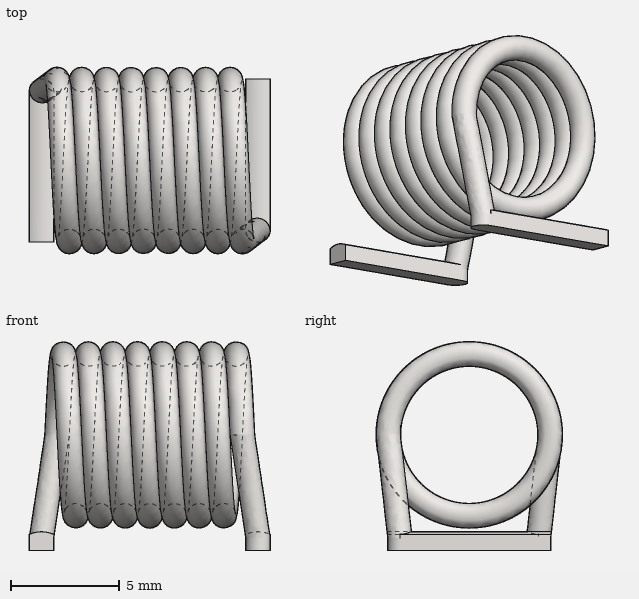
import cadquery as cq

wire_diameter = 1.14
coil_outer_diameter = 8.63
coil_pitch = 1.143
coil_turns = 7.5
overall_length = 11.15
overall_height = 9.66
foot_length = 7.54
foot_side_height = 0.74
foot_crown_height = 0.87

wire_radius = wire_diameter / 2
coil_radius = coil_outer_diameter / 2 - wire_radius
coil_length = coil_turns * coil_pitch
coil_start_x = -coil_length / 2
coil_axis_z = overall_height - coil_outer_diameter / 2
foot_x = -overall_length / 2 + wire_radius
foot_end_y = -foot_length / 2
leg_base_y = foot_length / 2 - wire_radius
leg_base_z = wire_radius


def make_coil():
    """Right-handed winding along +X, starting on the +Y side and ending on the -Y side."""
    axis_plane = cq.Plane(
        origin=(coil_start_x, 0, coil_axis_z), xDir=(0, 1, 0), normal=(1, 0, 0)
    )
    helix = cq.Wire.makeHelix(coil_pitch, coil_length, coil_radius)
    path = cq.Workplane("XY").add(helix.moved(cq.Location(axis_plane)))
    section = cq.Workplane("XY", origin=(coil_start_x, coil_radius, coil_axis_z)).circle(wire_radius)
    return section.sweep(path, isFrenet=True)


def make_leg():
    """Slanted lead between the start of the coil and the rounded end of the foot."""
    offset_x = coil_start_x - foot_x
    offset_y = coil_radius - leg_base_y
    rise = coil_axis_z - leg_base_z
    return (
        cq.Workplane("XY", origin=(foot_x, leg_base_y, leg_base_z))
        .circle(wire_radius)
        .workplane(offset=rise)
        .center(offset_x, offset_y)
        .circle(wire_radius)
        .loft(ruled=True)
    )


def make_foot():
    """Flat-bottomed bar along Y with an arched back and a half-round end under the leg."""
    bar = (
        cq.Workplane("XZ", origin=(foot_x, leg_base_y, 0))
        .moveTo(-wire_radius, 0)
        .lineTo(wire_radius, 0)
        .lineTo(wire_radius, foot_side_height)
        .threePointArc((0, foot_crown_height), (-wire_radius, foot_side_height))
        .close()
        .extrude(leg_base_y - foot_end_y)
    )
    rounded_end = cq.Workplane("XY", origin=(foot_x, leg_base_y, 0)).circle(wire_radius).extrude(leg_base_z)
    return bar.union(rounded_end)


terminal = make_leg().union(make_foot())
opposite_terminal = terminal.rotate((0, 0, 0), (0, 0, 1), 180)

result = make_coil().union(terminal).union(opposite_terminal)